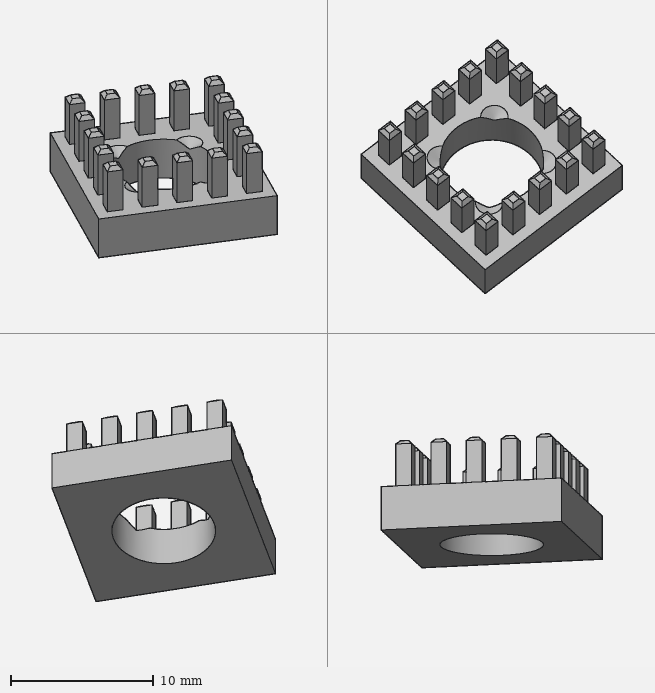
import cadquery as cq

base_side = 13.0
base_height = 3.12
opening_diameter = 7.28

total_height = 6.6
pin_pitch = 2.54
pins_per_side = 5
pin_width = 1.15
pin_tip_chamfer = 0.29
pin_height = total_height - base_height

countersink_radius = 0.96
countersink_depth = 0.55


def grid_position(index):
    """Coordinate of a pin-grid row or column, centred on the base."""
    return (index - (pins_per_side - 1) / 2) * pin_pitch


def pin_positions():
    """Grid points on the outer ring only."""
    last = pins_per_side - 1
    return [
        (grid_position(column), grid_position(row))
        for column in range(pins_per_side)
        for row in range(pins_per_side)
        if column in (0, last) or row in (0, last)
    ]


def make_base():
    return (
        cq.Workplane("XY")
        .rect(base_side, base_side)
        .circle(opening_diameter / 2)
        .extrude(base_height)
    )


def make_pins():
    return (
        cq.Workplane("XY", origin=(0, 0, base_height))
        .pushPoints(pin_positions())
        .rect(pin_width, pin_width)
        .extrude(pin_height)
        .faces(">Z")
        .chamfer(pin_tip_chamfer)
    )


def make_countersinks():
    """Cones with their wide end on the base top and their tip pointing down."""
    cone = cq.Solid.makeCone(
        countersink_radius,
        0,
        countersink_depth,
        pnt=cq.Vector(0, 0, base_height),
        dir=cq.Vector(0, 0, -1),
    )
    return (
        cq.Workplane("XY")
        .rect(2 * pin_pitch, 2 * pin_pitch, forConstruction=True)
        .vertices()
        .eachpoint(lambda place: cone.moved(place))
    )


result = make_base().cut(make_countersinks()).union(make_pins())